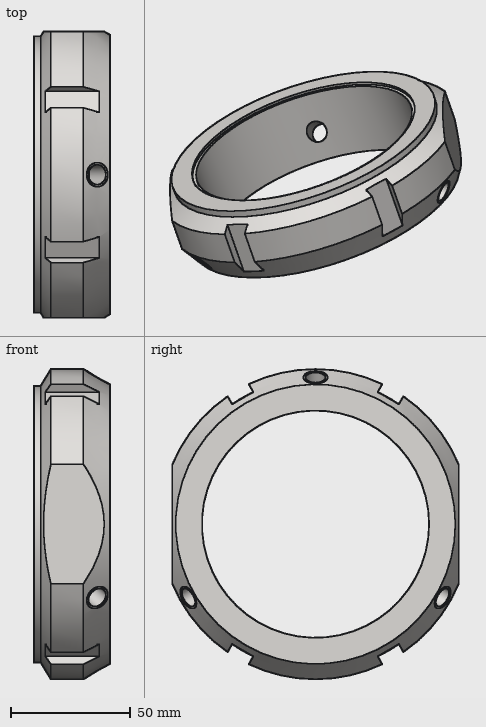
import cadquery as cq
import math

length = 32.0
outer_radius = 65.0
width_across_flats = 120.0
neck_radius = 116.0 / 2
neck_length = 2.9
rim_start = 7.2
rim_end = 20.8
rear_cone_angle = 30.0

bore_radius = 95.0 / 2
bore_mouth_radius = 98.0 / 2
bore_mouth_depth = 1.0

slot_width = 10.1
slot_end = 27.4
slot_floor_radius = 61.0
slot_angles = (30, 150, 210, 330)

screw_hole_radius = 8.3 / 2
spot_face_radius = 10.1 / 2
spot_face_depth = 0.3
screw_x = 26.6
screw_angles = (0, 120, 240)

clearance = 6.5


def rear_cone_radius(x):
    """Outer radius of the rear cone at position x."""
    return outer_radius - (x - rim_end) * math.tan(math.radians(rear_cone_angle))


def around_axis(body, angle):
    """Turn a body about the ring axis, X."""
    return body.rotate((0, 0, 0), (1, 0, 0), angle)


def ring_body():
    """Ring with a neck, a front chamfer, a rear cone and a bore counterbored at the front."""
    return (
        cq.Workplane("XY")
        .moveTo(0, bore_mouth_radius)
        .lineTo(0, neck_radius)
        .lineTo(neck_length, neck_radius)
        .lineTo(rim_start, outer_radius)
        .lineTo(rim_end, outer_radius)
        .lineTo(length, rear_cone_radius(length))
        .lineTo(length, bore_radius)
        .lineTo(bore_mouth_depth, bore_radius)
        .lineTo(bore_mouth_depth, bore_mouth_radius)
        .close()
        .revolve(360, (0, 0, 0), (1, 0, 0))
    )


def flats_envelope():
    """Block that trims the ring to two wrench flats facing -Y and +Y."""
    return cq.Workplane("XY").box(
        length, width_across_flats, 2 * outer_radius, centered=(False, True, True)
    )


def spanner_slot():
    """Flat-floored slot at the top of the ring, open to the front and ending in the rear cone."""
    slot_height = outer_radius + clearance - slot_floor_radius
    return (
        cq.Workplane("XY")
        .box(slot_end, slot_width, slot_height, centered=(False, True, False))
        .translate((0, 0, slot_floor_radius))
    )


def screw_hole():
    """Spot-faced hole through the wall at the top, square to the rear cone."""
    wall = rear_cone_radius(screw_x) - bore_radius
    depth = wall / math.cos(math.radians(rear_cone_angle)) + clearance
    spot_face = (
        cq.Workplane("XY")
        .workplane(offset=-spot_face_depth)
        .circle(spot_face_radius)
        .extrude(spot_face_depth + clearance)
    )
    return (
        cq.Workplane("XY")
        .circle(screw_hole_radius)
        .extrude(-depth)
        .union(spot_face)
        .rotate((0, 0, 0), (0, 1, 0), rear_cone_angle)
        .translate((screw_x, 0, rear_cone_radius(screw_x)))
    )


result = ring_body().intersect(flats_envelope())

for angle in slot_angles:
    result = result.cut(around_axis(spanner_slot(), angle))

for angle in screw_angles:
    result = result.cut(around_axis(screw_hole(), angle))